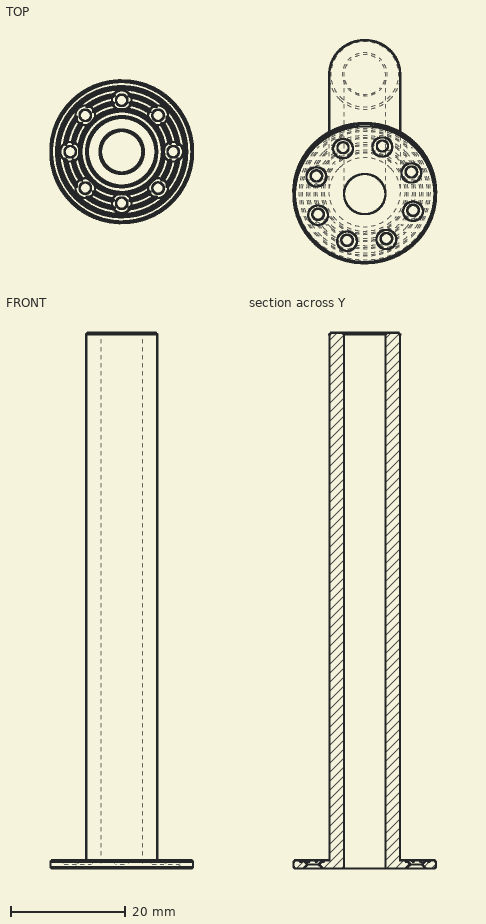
import cadquery as cq

overall_height = 93.75
tube_radius = 12.5 / 2
bore_radius = 7.2 / 2
tube_chamfer = 0.33
bore_chamfer = 0.3

flange_radius = 25.0 / 2
flange_thickness = 1.5
flange_chamfer = 0.33

hole_count = 8
hole_radius = 2.0 / 2
hole_circle_radius = 9.0
countersink_depth = flange_thickness / 2
countersink_radius = hole_radius + countersink_depth

groove_count = 4
groove_width = 0.6
groove_depth = 0.3
first_groove_radius = 7.3
last_groove_inset = 1.3
last_groove_radius = flange_radius - last_groove_inset
groove_pitch = (last_groove_radius - first_groove_radius) / (groove_count - 1)


def revolve_profile(points):
    """Revolve a closed (radius, height) outline a full turn about Z."""
    return cq.Workplane("XZ").polyline(points).close().revolve(360, (0, 0, 0), (0, 1, 0))


def make_body():
    """Chamfered flange and tube in one turned profile, still without grooves and holes."""
    return revolve_profile([
        (bore_radius, 0),
        (flange_radius - flange_chamfer, 0),
        (flange_radius, flange_chamfer),
        (flange_radius, flange_thickness - flange_chamfer),
        (flange_radius - flange_chamfer, flange_thickness),
        (tube_radius, flange_thickness),
        (tube_radius, overall_height - tube_chamfer),
        (tube_radius - tube_chamfer, overall_height),
        (bore_radius + bore_chamfer, overall_height),
        (bore_radius, overall_height - bore_chamfer),
    ])


def make_groove(radius):
    """Triangular ring that cuts one V groove into the top of the flange."""
    return revolve_profile([
        (radius - groove_width / 2, flange_thickness),
        (radius, flange_thickness - groove_depth),
        (radius + groove_width / 2, flange_thickness),
    ])


def make_holes():
    """Hourglass cutters evenly spaced on the hole circle."""
    cutter = revolve_profile([
        (0, 0),
        (countersink_radius, 0),
        (hole_radius, countersink_depth),
        (countersink_radius, flange_thickness),
        (0, flange_thickness),
    ]).val()
    return (
        cq.Workplane("XY")
        .polarArray(hole_circle_radius, 0, 360, hole_count)
        .eachpoint(lambda location: cutter.moved(location))
    )


result = make_body()
for index in range(groove_count):
    result = result.cut(make_groove(first_groove_radius + index * groove_pitch))
result = result.cut(make_holes())